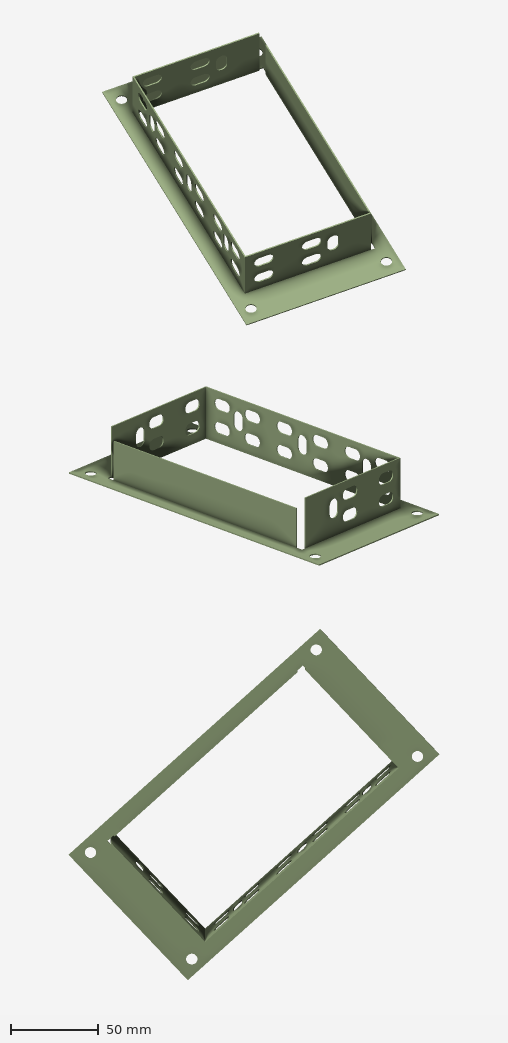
import cadquery as cq

sheet = 0.8
flange_length = 195.0
flange_width = 100.0

opening_length = 151.6
opening_width = 82.0

wall_height = 32.0
rear_wall_height = 25.0
rear_wall_length = 142.0
side_wall_setback = 2.8

mount_diameter = 6.5
mount_spacing_x = 175.0
mount_spacing_y = 85.0

slot_length = 12.0
slot_width = 7.0
front_slot_rows = (9.5, 24.0)
side_slot_rows = (10.0, 23.5)
upright_slot_height = 18.0
front_slot_offsets = (14.0, 39.0, 62.5)
front_upright_positions = (-50.0, 0.0, 50.0)
side_slot_positions = (-29.0, 1.0)
side_upright_position = 14.5

half_length = opening_length / 2
half_width = opening_width / 2


def block(x_min, x_max, y_min, y_max, height):
    """Box standing on the underside of the flange."""
    size = (x_max - x_min, y_max - y_min, height)
    return cq.Workplane("XY").box(*size, centered=False).translate((x_min, y_min, 0))


def make_flange():
    return (
        cq.Workplane("XY")
        .rect(flange_length, flange_width)
        .rect(opening_length, opening_width)
        .extrude(sheet)
        .faces(">Z")
        .workplane(origin=(0, 0, 0))
        .rect(mount_spacing_x, mount_spacing_y, forConstruction=True)
        .vertices()
        .hole(mount_diameter)
    )


def make_walls():
    side_end = half_width - side_wall_setback
    half_rear = rear_wall_length / 2
    front = block(-half_length, half_length, -half_width, -half_width + sheet, wall_height)
    left = block(-half_length, -half_length + sheet, -half_width, side_end, wall_height)
    right = left.mirror("YZ")
    rear = block(-half_rear, half_rear, half_width - sheet, half_width, rear_wall_height)
    return front, left, right, rear


def slot_cutter(plane, level_positions, row_heights, upright_positions, depth):
    """Level slots in two rows plus upright slots, extruded to both sides of the plane."""
    level_centres = [(along, z) for along in level_positions for z in row_heights]
    upright_centres = [(along, upright_slot_height) for along in upright_positions]
    level = (
        cq.Workplane(plane)
        .pushPoints(level_centres)
        .slot2D(slot_length, slot_width)
        .extrude(depth, both=True)
    )
    upright = (
        cq.Workplane(plane)
        .pushPoints(upright_centres)
        .slot2D(slot_length, slot_width, 90)
        .extrude(depth, both=True)
    )
    return level.union(upright)


front_positions = [side * offset for offset in front_slot_offsets for side in (-1, 1)]
front_slots = slot_cutter("XZ", front_positions, front_slot_rows, front_upright_positions, 2 * sheet)
front_slots = front_slots.translate((0, -half_width, 0))
side_slots = slot_cutter(
    "YZ", side_slot_positions, side_slot_rows, [side_upright_position], opening_length
)

result = make_flange()
for wall in make_walls():
    result = result.union(wall)
result = result.cut(front_slots).cut(side_slots)